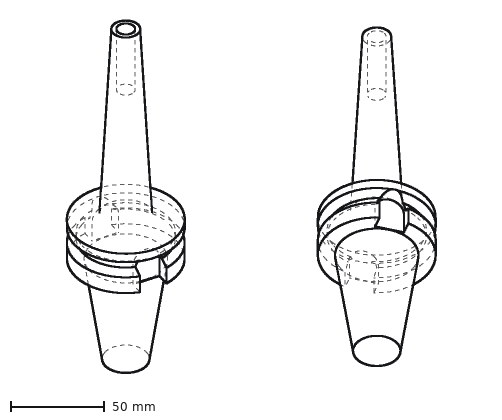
import math

import cadquery as cq

overall_length = 217.8
gauge_diameter = 44.45
taper_length = 65.4
taper_ratio = 7 / 24
taper_end_diameter = gauge_diameter - taper_ratio * taper_length

flange_diameter = 63.0
flange_bottom = 1.0
flange_top = 27.0
groove_center = 16.4
groove_opening = 10.0
groove_diameter = 53.0
groove_side_angle = 30.0

slot_width = 16.1
slot_top = 21.6
slot_floor_distance = 22.6

tip_height = overall_length - taper_length
tip_diameter = 15.5
neck_half_angle = 3.0
neck_fillet_radius = 5.0
bore_diameter = 10.0
bore_depth = 40.0


def make_profile_body():
    """Revolve the half profile of taper, flange and neck about Z."""
    flange_radius = flange_diameter / 2
    groove_radius = groove_diameter / 2
    gauge_radius = gauge_diameter / 2
    tip_radius = tip_diameter / 2
    groove_side_height = (flange_radius - groove_radius) * math.tan(math.radians(groove_side_angle))
    groove_bottom = groove_center - groove_opening / 2
    groove_top = groove_center + groove_opening / 2

    angle = math.radians(neck_half_angle)
    neck_slope = math.tan(angle)
    fillet_center_height = flange_top + neck_fillet_radius
    fillet_center_radius = (
        tip_radius
        + (tip_height - fillet_center_height) * neck_slope
        + neck_fillet_radius / math.cos(angle)
    )
    neck_tangent = (
        fillet_center_radius - neck_fillet_radius * math.cos(angle),
        fillet_center_height - neck_fillet_radius * math.sin(angle),
    )
    middle_angle = (math.pi / 2 - angle) / 2
    fillet_middle = (
        fillet_center_radius - neck_fillet_radius * math.sin(middle_angle),
        fillet_center_height - neck_fillet_radius * math.cos(middle_angle),
    )

    return (
        cq.Workplane("XZ")
        .moveTo(0, -taper_length)
        .lineTo(taper_end_diameter / 2, -taper_length)
        .lineTo(gauge_radius, 0)
        .lineTo(gauge_radius, flange_bottom)
        .lineTo(flange_radius, flange_bottom)
        .lineTo(flange_radius, groove_bottom)
        .lineTo(groove_radius, groove_bottom + groove_side_height)
        .lineTo(groove_radius, groove_top - groove_side_height)
        .lineTo(flange_radius, groove_top)
        .lineTo(flange_radius, flange_top)
        .lineTo(fillet_center_radius, flange_top)
        .threePointArc(fillet_middle, neck_tangent)
        .lineTo(tip_radius, tip_height)
        .lineTo(0, tip_height)
        .close()
        .revolve(360, (0, 0), (0, 1))
    )


def make_drive_slot(side):
    """Round-topped slot cutter, open at the flange bottom; side is -1 or +1 along X."""
    half_width = slot_width / 2
    arc_height = slot_top - half_width
    return (
        cq.Workplane("YZ", origin=(side * slot_floor_distance, 0, 0))
        .moveTo(-half_width, flange_bottom)
        .lineTo(half_width, flange_bottom)
        .lineTo(half_width, arc_height)
        .threePointArc((0, slot_top), (-half_width, arc_height))
        .close()
        .extrude(side * flange_diameter / 2)
    )


def make_bore():
    """Blind bore in the tip of the neck."""
    return (
        cq.Workplane("XY", origin=(0, 0, tip_height - bore_depth))
        .circle(bore_diameter / 2)
        .extrude(bore_depth)
    )


result = make_profile_body().cut(make_bore())
for slot_side in (-1, 1):
    result = result.cut(make_drive_slot(slot_side))